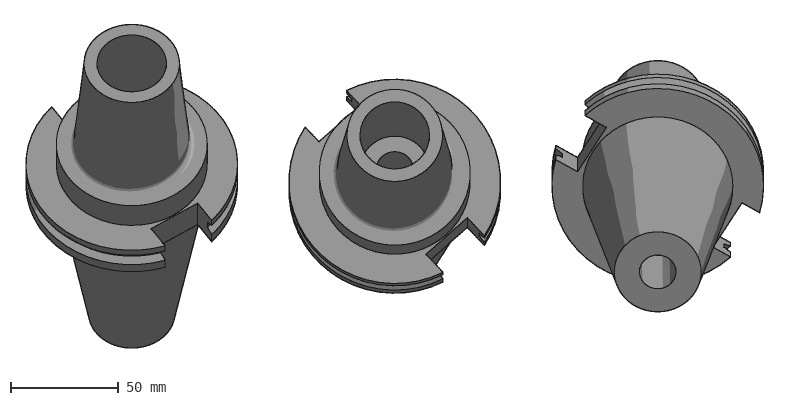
import cadquery as cq
import math

total_height = 201.5
taper_height = 102.0
flange_bottom = 103.2
flange_top = 120.5
collar_top = 136.5
neck_cone_bottom = 144.1

taper_small_radius = 20.2
taper_large_radius = 34.9
collar_radius = 35.0
flange_radius = 49.2
neck_radius = 26.6
nose_radius = 22.2
neck_fillet = 2.8

groove_center = 112.7
groove_root_radius = 45.8
groove_root_width = 3.6
groove_flank_angle = 30.0

slot_width = 26.0
slot_floor_left = 38.0
slot_floor_right = 35.7
slot_hole_radius = 4.8
slot_hole_depth = 8.0

tool_bore_radius = 16.1
tool_bore_depth = 60.5
coolant_radius = 8.7
lower_bore_radius = 8.5
lower_bore_depth = 40.3


def turned_body():
    root_half = groove_root_width / 2
    flank_height = (flange_radius - groove_root_radius) * math.tan(math.radians(groove_flank_angle))
    mouth_half = root_half + flank_height
    fillet_x = neck_radius + neck_fillet
    fillet_z = collar_top + neck_fillet
    fillet_mid = neck_fillet * math.sqrt(0.5)
    profile = (
        cq.Workplane("XZ")
        .lineTo(taper_small_radius, 0)
        .lineTo(taper_large_radius, taper_height)
        .lineTo(taper_large_radius, flange_bottom)
        .lineTo(flange_radius, flange_bottom)
        .lineTo(flange_radius, groove_center - mouth_half)
        .lineTo(groove_root_radius, groove_center - root_half)
        .lineTo(groove_root_radius, groove_center + root_half)
        .lineTo(flange_radius, groove_center + mouth_half)
        .lineTo(flange_radius, flange_top)
        .lineTo(collar_radius, flange_top)
        .lineTo(collar_radius, collar_top)
        .lineTo(fillet_x, collar_top)
        .threePointArc((fillet_x - fillet_mid, fillet_z - fillet_mid), (neck_radius, fillet_z))
        .lineTo(neck_radius, neck_cone_bottom)
        .lineTo(nose_radius, total_height)
        .lineTo(0, total_height)
        .close()
    )
    return profile.revolve(360, (0, 0, 0), (0, 1, 0))


def drive_slot(side, floor):
    """Box cutter open to the outside; side is -1 for -X and +1 for +X."""
    height = flange_top - flange_bottom
    return (
        cq.Workplane("XY")
        .box(flange_radius, slot_width, height, centered=(True, True, False))
        .translate((side * (floor + flange_radius / 2), 0, flange_bottom))
    )


def slot_hole():
    """Blind round hole in the floor of the -X slot."""
    return (
        cq.Workplane("YZ", origin=(-slot_floor_left, 0, groove_center))
        .circle(slot_hole_radius)
        .extrude(slot_hole_depth)
    )


def axial_bores():
    lower_bore = cq.Workplane("XY").circle(lower_bore_radius).extrude(lower_bore_depth)
    coolant_bore = (
        cq.Workplane("XY", origin=(0, 0, lower_bore_depth))
        .circle(coolant_radius)
        .extrude(total_height - tool_bore_depth - lower_bore_depth)
    )
    tool_bore = (
        cq.Workplane("XY", origin=(0, 0, total_height - tool_bore_depth))
        .circle(tool_bore_radius)
        .extrude(tool_bore_depth)
    )
    return lower_bore.union(coolant_bore).union(tool_bore)


result = (
    turned_body()
    .cut(drive_slot(-1, slot_floor_left))
    .cut(drive_slot(1, slot_floor_right))
    .cut(slot_hole())
    .cut(axial_bores())
)